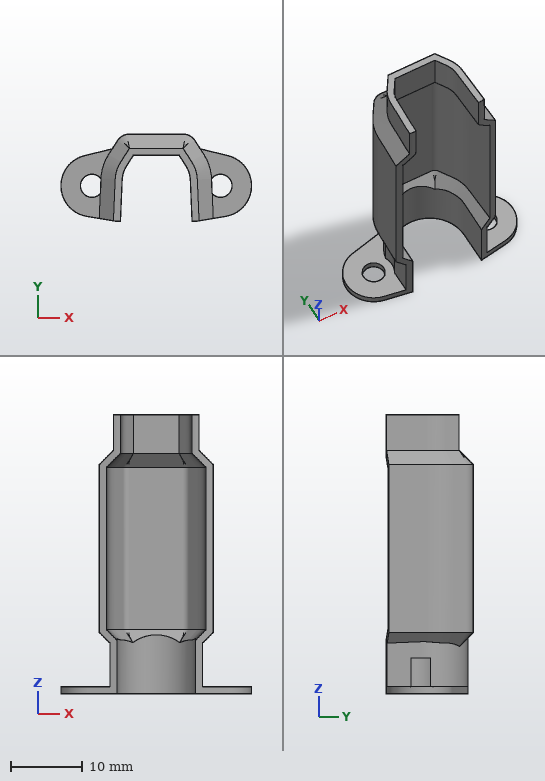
import cadquery as cq
import math

wall = 1.0
total_height = 39.1
front_y = -5.0

collar_radius = 6.5
collar_bore = collar_radius - wall

neck_front_half_width = 6.0
shoulder_x = 5.7
shoulder_y = 2.2
shoulder_radius = 5.0
neck_back_half_width = 3.75
neck_back_y = 5.25

flare = 2.0
neck_length = 5.0
body_bottom_z = 8.6
neck_bottom_z = total_height - neck_length
body_top_z = neck_bottom_z - flare
taper_angle = 45
bend_shift = wall * math.tan(math.radians(taper_angle / 2))
taper_shift = wall / math.cos(math.radians(taper_angle))

ear_offset = 9.0
ear_radius = 4.36
ear_thickness = 1.0
screw_hole_diameter = 3.2
screw_head_radius = 2.9
screw_head_top_z = 5.0

front_overrun = 5.0
above_top = 1.0


def neck_profile(offset=0.0):
    """Closed wire of the neck's outer outline, grown or shrunk by offset."""
    side_slope = (neck_front_half_width - shoulder_x) / (shoulder_y - front_y)
    far_y = front_y - front_overrun
    far_x = neck_front_half_width + side_slope * front_overrun
    right_half = [(far_x, far_y), (shoulder_x, shoulder_y), (neck_back_half_width, neck_back_y)]
    left_half = [(-x, y) for x, y in reversed(right_half)]
    wire = cq.Wire.makePolygon([cq.Vector(x, y) for x, y in right_half + left_half], close=True)
    middle_y = (shoulder_y + neck_back_y) / 2
    shoulders = [corner for corner in wire.Vertices() if front_y < corner.Y < middle_y]
    wire = wire.fillet2D(shoulder_radius, shoulders)
    if offset:
        wire = wire.offset2D(offset, "arc")[0]
    return wire


def prism(wire, bottom_z, top_z):
    """Straight extrusion of a wire between two heights."""
    column = cq.Workplane("XY").add(wire).toPending().extrude(top_z - bottom_z)
    return column.translate((0, 0, bottom_z))


def neck_taper(height, angle):
    """Neck outline extruded up from Z = 0, shrinking at a positive angle and growing at a negative one."""
    return cq.Workplane("XY").add(neck_profile()).toPending().extrude(height, taper=angle)


def bore_taper():
    """45 degree taper of the bore: sharp corners up to the neck outline at Z = 0, rounded beyond it."""
    sharp_part = neck_taper(wall, taper_angle).mirror("XY")
    round_part = neck_taper(flare - wall, -taper_angle)
    return sharp_part.union(round_part)


def place_tapers(taper, shift=0.0):
    """Pair of tapers: narrow end down below the body, narrow end up above it."""
    lower = taper.translate((0, 0, body_bottom_z - flare + shift))
    upper = taper.mirror("XY").translate((0, 0, neck_bottom_z - shift))
    return lower.union(upper)


def collar_column(radius, top_z):
    """Round-backed column standing on Z = 0, with straight sides running out of the open front."""
    front_length = front_overrun - front_y
    straight = cq.Workplane("XY").rect(2 * radius, front_length).extrude(top_z)
    straight = straight.translate((0, -front_length / 2, 0))
    return cq.Workplane("XY").circle(radius).extrude(top_z).union(straight)


def shell_outside():
    """Collar, body and neck as one solid column, before hollowing."""
    body = prism(neck_profile(flare), body_bottom_z, body_top_z)
    neck = prism(neck_profile(), neck_bottom_z, total_height)
    collar = collar_column(collar_radius, body_bottom_z)
    return collar.union(place_tapers(neck_taper(flare, -taper_angle))).union(body).union(neck)


def shell_cavity():
    """Everything inside the walls, running out of the top, the bottom and the open front."""
    body = prism(neck_profile(flare - wall), body_bottom_z + bend_shift, body_top_z - bend_shift)
    neck = prism(neck_profile(-wall), neck_bottom_z - bend_shift, total_height + above_top)
    collar = collar_column(collar_bore, body_bottom_z)
    tapers = place_tapers(bore_taper(), taper_shift)
    return collar.union(tapers).union(body).union(neck)


def ear_tangent(start_x, start_y):
    """Point where the lower tangent from a start point touches the right ear's rim."""
    run = ear_offset - start_x
    rise = -start_y
    distance = math.hypot(run, rise)
    edge_angle = math.atan2(rise, run) - math.asin(ear_radius / distance)
    return (ear_offset + ear_radius * math.sin(edge_angle), -ear_radius * math.cos(edge_angle))


def foot_outline():
    """Closed outline of the foot: tangents join the ears to the collar's back and front corners."""
    lean = math.asin((collar_radius - ear_radius) / ear_offset)
    back_ear = (ear_offset + ear_radius * math.sin(lean), ear_radius * math.cos(lean))
    back_collar = (collar_radius * math.sin(lean), collar_radius * math.cos(lean))
    front_ear = ear_tangent(collar_bore, front_y)
    return (
        cq.Workplane("XY")
        .moveTo(collar_bore, front_y)
        .lineTo(*front_ear)
        .threePointArc((ear_offset + ear_radius, 0), back_ear)
        .lineTo(*back_collar)
        .threePointArc((0, collar_radius), (-back_collar[0], back_collar[1]))
        .lineTo(-back_ear[0], back_ear[1])
        .threePointArc((-ear_offset - ear_radius, 0), (-front_ear[0], front_ear[1]))
        .lineTo(-collar_bore, front_y)
        .close()
    )


def front_trim():
    """Block removing everything ahead of the foot's front edge line, over the full height."""
    ear_x, ear_y = ear_tangent(collar_bore, front_y)
    far_y = front_y - 2 * front_overrun
    return (
        cq.Workplane("XY")
        .polyline([
            (-ear_x, ear_y), (-collar_bore, front_y), (collar_bore, front_y),
            (ear_x, ear_y), (ear_x, far_y), (-ear_x, far_y),
        ])
        .close()
        .extrude(total_height + above_top)
    )


def ear_cuts():
    """Screw holes through the ears and the screw head reliefs above them."""
    centers = [(-ear_offset, 0), (ear_offset, 0)]
    holes = cq.Workplane("XY").pushPoints(centers).circle(screw_hole_diameter / 2).extrude(ear_thickness)
    reliefs = (
        cq.Workplane("XY", origin=(0, 0, ear_thickness))
        .pushPoints(centers)
        .circle(screw_head_radius)
        .extrude(screw_head_top_z - ear_thickness)
    )
    return holes.union(reliefs)


foot = foot_outline().extrude(ear_thickness)
solid_clip = shell_outside().union(foot)
result = solid_clip.cut(shell_cavity()).cut(front_trim()).cut(ear_cuts())